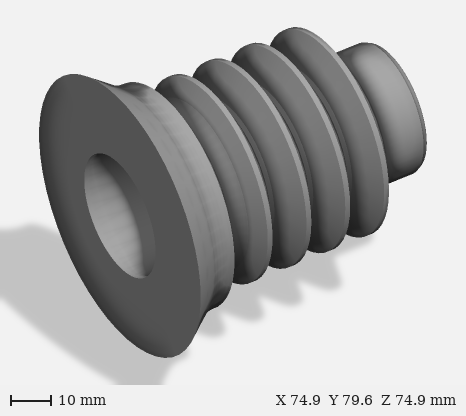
import cadquery as cq
import math

height = 79.6
lip_radius = 37.45

flare_height = 7.95
flare_radius = 31.7
collar_radius = 60.0 / 2
collar_bottom = 13.8
collar_top = 14.65

throat_radius = 21.65
throat_bottom = 18.3
throat_top = 23.3
throat_end_radius = 22.8

fold_count = 4
fold_pitch = 11.4
crest_radius = 55.0 / 2
root_radius = 39.0 / 2
crest_start = 25.95
crest_width = 1.4
root_width = 1.3

neck_radius = 35.0 / 2
neck_fillet = 3.3
neck_top = 78.0
bead_radius = 17.0
bead_rounding = (height - neck_top) / 2

cavity_mouth_radius = 33.0 / 2
cavity_floor_radius = 28.5 / 2
cavity_depth = 68.85
outlet_radius = 18.6 / 2

flank_height = (fold_pitch - crest_width - root_width) / 2
flank_angle = math.atan2(crest_radius - root_radius, flank_height)
fillet_start_radius = neck_radius + neck_fillet * (1 - math.cos(flank_angle))
last_crest_top = crest_start + (fold_count - 1) * fold_pitch + crest_width
fillet_start = last_crest_top + (crest_radius - fillet_start_radius) / math.tan(flank_angle)
fillet_end = fillet_start + neck_fillet * math.sin(flank_angle)
fillet_middle = (
    neck_radius + neck_fillet * (1 - math.cos(flank_angle / 2)),
    fillet_end - neck_fillet * math.sin(flank_angle / 2),
)


def add_cup(profile):
    """Flare up to the collar through an arc tangent to the collar wall."""
    return (
        profile.lineTo(lip_radius, 0)
        .lineTo(flare_radius, flare_height)
        .threePointArc(flare_arc_middle(), (collar_radius, collar_bottom))
        .lineTo(collar_radius, collar_top)
    )


def flare_arc_middle():
    """Middle of the arc that meets the collar wall tangentially."""
    rise = collar_bottom - flare_height
    spread = flare_radius - collar_radius
    arc_radius = (rise**2 + spread**2) / (2 * spread)
    half_angle = math.asin(rise / arc_radius) / 2
    return (
        collar_radius + arc_radius * (1 - math.cos(half_angle)),
        collar_bottom - arc_radius * math.sin(half_angle),
    )


def add_throat(profile):
    """Concave groove below the first fold."""
    middle = (throat_radius, (throat_bottom + throat_top) / 2)
    return (
        profile.lineTo(throat_end_radius, throat_bottom)
        .threePointArc(middle, (throat_end_radius, throat_top))
    )


def add_folds(profile):
    """Flat crests joined by flat roots and conical flanks."""
    for fold in range(fold_count):
        crest_bottom = crest_start + fold * fold_pitch
        crest_top = crest_bottom + crest_width
        if fold > 0:
            root_top = crest_bottom - flank_height
            profile = profile.lineTo(root_radius, root_top - root_width)
            profile = profile.lineTo(root_radius, root_top)
        profile = profile.lineTo(crest_radius, crest_bottom).lineTo(crest_radius, crest_top)
    return profile


def add_neck(profile):
    """Filleted neck ending in a half-round bead set in from the neck wall."""
    return (
        profile.lineTo(fillet_start_radius, fillet_start)
        .threePointArc(fillet_middle, (neck_radius, fillet_end))
        .lineTo(neck_radius, neck_top)
        .lineTo(bead_radius - bead_rounding, neck_top)
        .threePointArc((bead_radius, neck_top + bead_rounding), (bead_radius - bead_rounding, height))
    )


def add_cavity(profile):
    """Outlet hole from the end face to the cavity floor, then the tapered wall to the mouth."""
    return (
        profile.lineTo(outlet_radius, height)
        .lineTo(outlet_radius, cavity_depth)
        .lineTo(cavity_floor_radius, cavity_depth)
        .close()
    )


profile = cq.Workplane("XY").moveTo(cavity_mouth_radius, 0)
for add_section in (add_cup, add_throat, add_folds, add_neck, add_cavity):
    profile = add_section(profile)

result = profile.revolve(360, (0, 0, 0), (0, 1, 0))